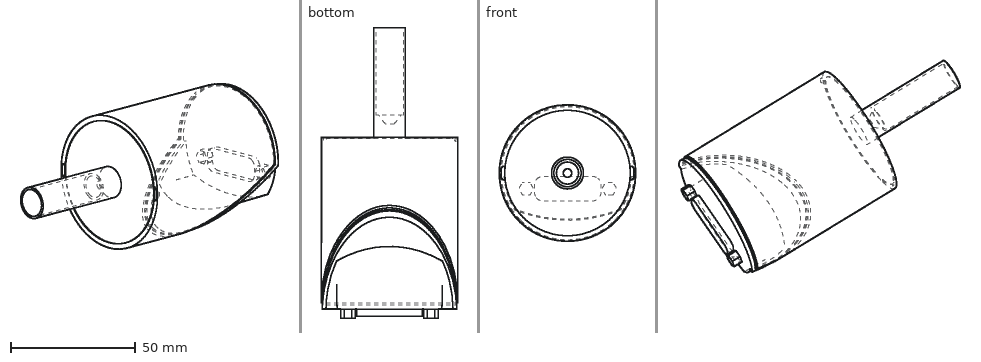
import cadquery as cq
import math


body_radius = 27.5
body_length = 66.7
slant_angle = 35.0

seam_width = 0.7
seam_radius = 26.8
cap_radius = 27.1
cap_thickness = 1.8
rear_y = body_length + seam_width + cap_thickness

box_radius = 25.6
box_corner_z = -14.5
box_bottom_z = -18.5
box_draft = 1.0
box_length = 32.8

shell_width = 26.7
shell_height = 9.8
shell_corner_radius = 3.3
shell_length = 2.9
connector_z = -6.2
standoff_spacing = 33.5
standoff_flats = 5.1
standoff_length = 3.7

shaft_length = 117.0 - rear_y - standoff_length
shaft_diameter = 12.9
bore_diameter = 11.0
bore_depth = 35.1
cone_start_diameter = 8.9
cone_end_diameter = 5.6
cone_depth = 2.3
tip_diameter = 3.4
tip_depth = 1.2

recess_diameter = 50.5
recess_depth = 0.4
notch_height = 5.6
notch_outer_x = 26.7
notch_depth = 1.6
notch_corner_radius = 1.3


def cylinder(radius, rear, length):
    """Cylinder on the axis, running from Y = rear towards -Y."""
    return cq.Workplane("XZ", origin=(0, rear, 0)).circle(radius).extrude(length)


def above_slant(offset):
    """Region bounded by the rear plane and the slanted plane, both moved outwards by offset."""
    rear = body_length + offset
    kink_z = -offset * math.tan(math.radians((90 - slant_angle) / 2))
    high_z = 2 * body_radius
    low_z = -high_z
    low_y = rear - (kink_z - low_z) / math.tan(math.radians(slant_angle))
    front = -body_radius
    profile = [(rear, high_z), (rear, kink_z), (low_y, low_z), (front, low_z), (front, high_z)]
    return cq.Workplane("YZ").polyline(profile).close().extrude(2 * body_radius, both=True)


def slanted_cylinder(radius, offset):
    rear = body_length + offset
    return cylinder(radius, rear, rear).intersect(above_slant(offset))


def housing():
    body = slanted_cylinder(body_radius, 0)
    seam = slanted_cylinder(seam_radius, seam_width)
    full_cap = slanted_cylinder(cap_radius, seam_width + cap_thickness)
    cap = full_cap.cut(above_slant(seam_width))
    return body.union(seam).union(cap)


def connector_box():
    """Round sides closed below by a shallow curved bottom, drafted wider to the front."""
    corner_x = math.sqrt(box_radius**2 - box_corner_z**2)
    box = (
        cq.Workplane("XZ", origin=(0, rear_y, 0))
        .moveTo(-corner_x, box_corner_z)
        .threePointArc((0, box_radius), (corner_x, box_corner_z))
        .threePointArc((0, box_bottom_z), (-corner_x, box_corner_z))
        .close()
        .extrude(box_length, taper=-box_draft)
    )
    below_slant = box.cut(above_slant(seam_width + cap_thickness / 2))
    return below_slant.intersect(cylinder(cap_radius, rear_y, rear_y))


def connector():
    rear_face = cq.Workplane("XZ", origin=(0, rear_y, connector_z))
    shell = (
        rear_face.rect(shell_width, shell_height)
        .extrude(-shell_length)
        .edges("|Y")
        .fillet(shell_corner_radius)
    )
    standoffs = (
        rear_face.pushPoints([(-standoff_spacing / 2, 0), (standoff_spacing / 2, 0)])
        .polygon(6, standoff_flats / math.cos(math.pi / 6))
        .extrude(-standoff_length)
    )
    return shell.union(standoffs)


def shaft_bore():
    """Blind bore closed by a conical seat with a small flat-bottomed hole in its middle."""
    bore_end = bore_depth - shaft_length
    cone_end = bore_end + cone_depth
    tip_end = cone_end + tip_depth
    profile = [
        (0, -shaft_length),
        (bore_diameter / 2, -shaft_length),
        (bore_diameter / 2, bore_end),
        (cone_start_diameter / 2, bore_end),
        (cone_end_diameter / 2, cone_end),
        (tip_diameter / 2, tip_end),
        (0, tip_end),
    ]
    return cq.Workplane("XY").polyline(profile).close().revolve(360, (0, 0, 0), (0, 1, 0))


def front_notch():
    """Pocket beside the front recess whose floor gets deeper outwards."""
    inner_x = recess_diameter / 2
    profile = [(inner_x, 0), (notch_outer_x, 0), (notch_outer_x, notch_depth), (inner_x, recess_depth)]
    notch = cq.Workplane("XY").polyline(profile).close().extrude(notch_height / 2, both=True)
    return notch.edges("|Y and >X").fillet(notch_corner_radius)


shaft = cylinder(shaft_diameter / 2, recess_depth, shaft_length + recess_depth)
result = housing().union(connector_box()).union(connector())
result = result.cut(cylinder(recess_diameter / 2, recess_depth, recess_depth))
result = result.cut(front_notch()).cut(front_notch().mirror("YZ"))
result = result.union(shaft).cut(shaft_bore())